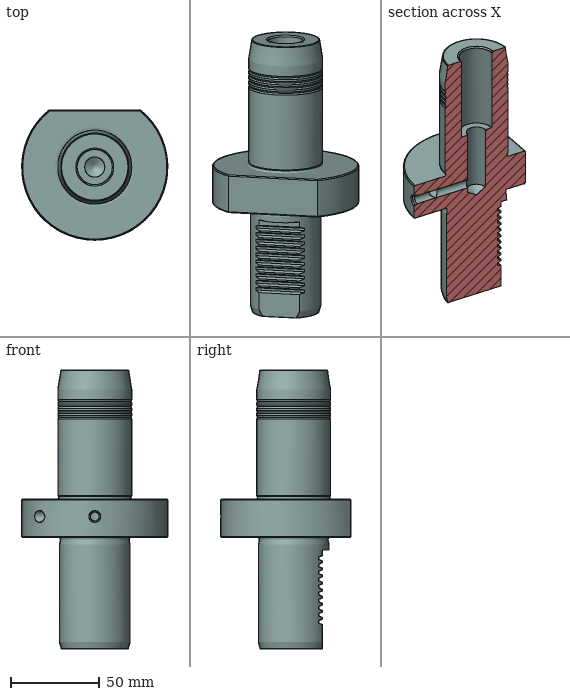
import cadquery as cq
import math

SHANK_LENGTH = 63.0
FLANGE_THICKNESS = 22.0
TOTAL_LENGTH = 158.0
SHANK_RADIUS = 20.0
FLANGE_DIAMETER = 83.0
FLANGE_RADIUS = FLANGE_DIAMETER / 2
HUB_RADIUS = 21.0

SHANK_CHAMFER_WIDTH = 1.1
SHANK_CHAMFER_LENGTH = 3.8

FLANGE_CHAMFER = 0.6
FLANGE_WIDTH_ACROSS_FLAT = 74.0
FLANGE_FLAT_Y = FLANGE_WIDTH_ACROSS_FLAT - FLANGE_RADIUS

UNDERCUT_DEPTH = 0.5
UNDERCUT_FILLET = 1.0
FACE_RELIEF_DEPTH = 0.2
FACE_RELIEF_WIDTH = 1.3
SHANK_NECK_LENGTH = 1.6
SHANK_RELIEF_LENGTH = 4.0
HUB_NECK_LENGTH = 1.3
HUB_RELIEF_LENGTH = 1.9

NOSE_LENGTH = 11.0
NOSE_TIP_RADIUS = 19.3
NOSE_CHAMFER_WIDTH = 0.5
NOSE_CHAMFER_LENGTH = 0.3
RING_COUNT = 4
RING_PITCH = 3.0
RING_WIDTH = 1.9
RING_DEPTH = 0.5
FIRST_RING_DROP = 16.7

BORE_RADIUS = 10.0
BORE_CHAMFER = 0.8
BORE_DEPTH = 50.5
DRILL_RADIUS = 5.7
DRILL_END_Z = 6.3
DRILL_POINT_ANGLE = 118.0

RIM_HOLE_Z = 12.0
RIM_HOLE_RADIUS = 2.5
RIM_MOUTH_RADIUS = 3.3
FRONT_MOUTH_Y = -40.3
SIDE_HOLE_Y = -27.0
SIDE_MOUTH_X = -25.9

RACK_FLAT_Y = 16.3
RACK_TOP_DROP = 7.1
FIRST_TOOTH_DROP = 11.7
TOOTH_COUNT = 10
TOOTH_SPAN = 36.0
TOOTH_PITCH = TOOTH_SPAN / (TOOTH_COUNT - 1)
TOOTH_DEPTH = 2.0
TOOTH_MOUTH = 3.2
TOOTH_ROOT = 1.3

SHANK_END_Z = -SHANK_LENGTH
HUB_TOP_Z = TOTAL_LENGTH - SHANK_LENGTH


def revolved(points):
    """Solid of revolution about Z from (radius, z) points."""
    return cq.Workplane("XZ").polyline(points).close().revolve(360, (0, 0), (0, 1))


def ring_groove_points():
    """V-shaped ring grooves on the hub, from the bottom up."""
    points = []
    for index in reversed(range(RING_COUNT)):
        top_z = HUB_TOP_Z - FIRST_RING_DROP - index * RING_PITCH
        points += [
            (HUB_RADIUS, top_z - RING_WIDTH),
            (HUB_RADIUS - RING_DEPTH, top_z - RING_WIDTH / 2),
            (HUB_RADIUS, top_z),
        ]
    return points


def make_undercut(radius, neck_length, relief_length):
    """Ring removed around a cylinder standing on a face at Z = 0, with a filleted root."""
    neck_radius = radius - UNDERCUT_DEPTH
    fillet_radius = neck_radius + UNDERCUT_FILLET
    fillet_z = UNDERCUT_FILLET - FACE_RELIEF_DEPTH
    fillet_mid_offset = UNDERCUT_FILLET * math.sqrt(0.5)
    return (
        cq.Workplane("XZ")
        .moveTo(radius, relief_length)
        .lineTo(neck_radius, neck_length)
        .lineTo(neck_radius, fillet_z)
        .threePointArc(
            (fillet_radius - fillet_mid_offset, fillet_z - fillet_mid_offset),
            (fillet_radius, -FACE_RELIEF_DEPTH),
        )
        .lineTo(radius + FACE_RELIEF_WIDTH, 0)
        .close()
        .revolve(360, (0, 0), (0, 1))
    )


def make_shank():
    return revolved([
        (0, SHANK_END_Z),
        (SHANK_RADIUS - SHANK_CHAMFER_WIDTH, SHANK_END_Z),
        (SHANK_RADIUS, SHANK_END_Z + SHANK_CHAMFER_LENGTH),
        (SHANK_RADIUS, 0),
        (0, 0),
    ])


def make_flange():
    disc = cq.Workplane("XY").circle(FLANGE_RADIUS).extrude(FLANGE_THICKNESS)
    beyond_flat = cq.Workplane("XY").box(
        FLANGE_DIAMETER, FLANGE_RADIUS, FLANGE_THICKNESS, centered=(True, False, False)
    ).translate((0, FLANGE_FLAT_Y, 0))
    return disc.cut(beyond_flat).faces("<Z or >Z").chamfer(FLANGE_CHAMFER)


def make_hub():
    return revolved([
        (0, FLANGE_THICKNESS),
        (HUB_RADIUS, FLANGE_THICKNESS),
        *ring_groove_points(),
        (HUB_RADIUS, HUB_TOP_Z - NOSE_LENGTH),
        (NOSE_TIP_RADIUS, HUB_TOP_Z - NOSE_CHAMFER_LENGTH),
        (NOSE_TIP_RADIUS - NOSE_CHAMFER_WIDTH, HUB_TOP_Z),
        (0, HUB_TOP_Z),
    ])


def make_bore():
    floor_z = HUB_TOP_Z - BORE_DEPTH
    point_length = DRILL_RADIUS / math.tan(math.radians(DRILL_POINT_ANGLE / 2))
    return revolved([
        (0, DRILL_END_Z - point_length),
        (DRILL_RADIUS, DRILL_END_Z),
        (DRILL_RADIUS, floor_z),
        (BORE_RADIUS, floor_z),
        (BORE_RADIUS, HUB_TOP_Z - BORE_CHAMFER),
        (BORE_RADIUS + BORE_CHAMFER, HUB_TOP_Z),
        (0, HUB_TOP_Z),
    ])


def coolant_hole(mouth_distance):
    """Widened mouth, countersink and hole along -Y, starting at the origin."""
    countersink_length = RIM_MOUTH_RADIUS - RIM_HOLE_RADIUS
    return revolved([
        (0, 0),
        (RIM_HOLE_RADIUS, 0),
        (RIM_HOLE_RADIUS, mouth_distance - countersink_length),
        (RIM_MOUTH_RADIUS, mouth_distance),
        (RIM_MOUTH_RADIUS, FLANGE_RADIUS),
        (0, FLANGE_RADIUS),
    ]).rotate((0, 0, 0), (1, 0, 0), 90)


def make_front_hole():
    """Runs from the rim into the drilled hole on the axis."""
    return coolant_hole(-FRONT_MOUTH_Y).translate((0, 0, RIM_HOLE_Z))


def make_side_hole():
    """Runs parallel to X from the rim into the front hole."""
    hole = coolant_hole(-SIDE_MOUTH_X).rotate((0, 0, 0), (0, 0, 1), -90)
    return hole.translate((0, SIDE_HOLE_Y, RIM_HOLE_Z))


def make_rack():
    """Flat with cross grooves, removed from the +Y side of the shank."""
    outline = [(SHANK_RADIUS, -RACK_TOP_DROP), (RACK_FLAT_Y, -RACK_TOP_DROP)]
    for index in range(TOOTH_COUNT):
        centre_z = -FIRST_TOOTH_DROP - index * TOOTH_PITCH
        outline += [
            (RACK_FLAT_Y, centre_z + TOOTH_MOUTH / 2),
            (RACK_FLAT_Y - TOOTH_DEPTH, centre_z + TOOTH_ROOT / 2),
            (RACK_FLAT_Y - TOOTH_DEPTH, centre_z - TOOTH_ROOT / 2),
            (RACK_FLAT_Y, centre_z - TOOTH_MOUTH / 2),
        ]
    outline += [(RACK_FLAT_Y, SHANK_END_Z), (SHANK_RADIUS, SHANK_END_Z)]
    return cq.Workplane("YZ").polyline(outline).close().extrude(SHANK_RADIUS, both=True)


shank_undercut = make_undercut(SHANK_RADIUS, SHANK_NECK_LENGTH, SHANK_RELIEF_LENGTH)
shank_undercut = shank_undercut.rotate((0, 0, 0), (1, 0, 0), 180)
hub_undercut = make_undercut(HUB_RADIUS, HUB_NECK_LENGTH, HUB_RELIEF_LENGTH)
hub_undercut = hub_undercut.translate((0, 0, FLANGE_THICKNESS))

body = make_shank().union(make_flange()).union(make_hub())
body = body.cut(shank_undercut).cut(hub_undercut)
result = body.cut(make_bore()).cut(make_front_hole()).cut(make_side_hole()).cut(make_rack())